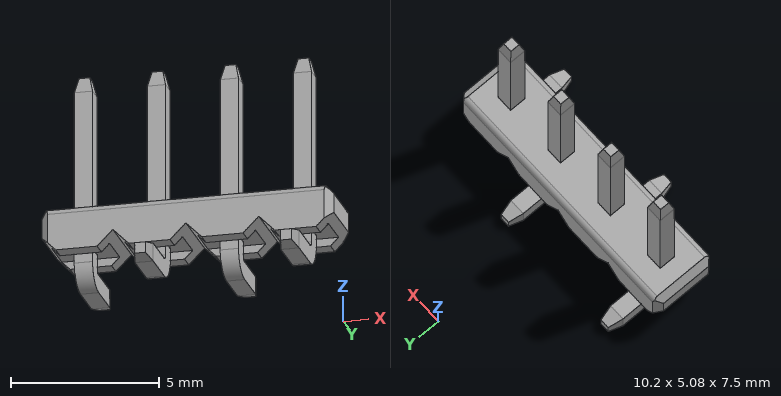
import cadquery as cq

PIN_COUNT = 4
PITCH = 2.54
TOTAL_HEIGHT = 7.5

HOUSING_LENGTH = PIN_COUNT * PITCH
HOUSING_WIDTH = PITCH
HOUSING_BOTTOM = 1.0
HOUSING_TOP = 2.5
END_CHAMFER = 0.26
NOTCH_SIZE = 0.55
TOP_EDGE_RADIUS = 0.2
CHANNEL_WIDTH = 1.36
CHANNEL_DEPTH = 0.28

PIN_SIZE = 0.64
FOOT_REACH = 2.54
INNER_BEND_RADIUS = 0.18
OUTER_BEND_RADIUS = INNER_BEND_RADIUS + PIN_SIZE
TIP_LENGTH = 0.55
TIP_SIZE = 0.38

PIN_POSITIONS = [(index - (PIN_COUNT - 1) / 2) * PITCH for index in range(PIN_COUNT)]


def make_housing_block():
    """Plain bar with rounded long upper edges and chamfered ends."""
    block = (
        cq.Workplane("XY", origin=(0, 0, HOUSING_BOTTOM))
        .box(HOUSING_LENGTH, HOUSING_WIDTH, HOUSING_TOP - HOUSING_BOTTOM, centered=(True, True, False))
    )
    rounded_bar = block.edges("|X and >Z").fillet(TOP_EDGE_RADIUS)

    end_edges = block.faces("<X or >X").edges("|Z or >Z")
    return rounded_bar.intersect(end_edges.chamfer(END_CHAMFER))


def make_notches():
    """45 degree V-shaped cutters, between the pins and at both ends of the underside."""
    notches = cq.Workplane("XZ")
    for index in range(PIN_COUNT + 1):
        x = index * PITCH - HOUSING_LENGTH / 2
        notch = (
            cq.Workplane("XZ")
            .moveTo(x - NOTCH_SIZE, HOUSING_BOTTOM)
            .lineTo(x, HOUSING_BOTTOM + NOTCH_SIZE)
            .lineTo(x + NOTCH_SIZE, HOUSING_BOTTOM)
            .close()
            .extrude(HOUSING_WIDTH / 2, both=True)
        )
        notches = notches.add(notch)
    return notches.combine()


def make_channel():
    """Cutter for the groove along the whole underside."""
    return (
        cq.Workplane("XY", origin=(0, 0, HOUSING_BOTTOM))
        .box(HOUSING_LENGTH, CHANNEL_WIDTH, CHANNEL_DEPTH, centered=(True, True, False))
    )


def make_pin_holes():
    """Cutters for the square holes that the pins fill."""
    return (
        cq.Workplane("XY", origin=(0, 0, HOUSING_BOTTOM))
        .pushPoints([(x, 0) for x in PIN_POSITIONS])
        .rect(PIN_SIZE, PIN_SIZE)
        .extrude(HOUSING_TOP - HOUSING_BOTTOM)
    )


def make_housing():
    housing = make_housing_block().cut(make_notches()).cut(make_channel()).cut(make_pin_holes())
    return housing.val().Solids()[0]


def make_tip(base_plane):
    """Square tip on the given plane, tapering along the plane's normal."""
    return (
        cq.Workplane(base_plane)
        .rect(PIN_SIZE, PIN_SIZE)
        .workplane(offset=TIP_LENGTH)
        .rect(TIP_SIZE, TIP_SIZE)
        .loft(ruled=True)
    )


def make_pin(x, foot_side):
    """L-shaped pin at x, its foot pointing to +Y (foot_side = 1) or -Y (foot_side = -1)."""
    half = PIN_SIZE / 2
    shaft_top = TOTAL_HEIGHT - TIP_LENGTH
    foot_end = foot_side * (FOOT_REACH - TIP_LENGTH)
    inner_face = foot_side * half
    outer_face = -inner_face
    bend_center_y = foot_side * (half + INNER_BEND_RADIUS)

    wire = (
        cq.Workplane("YZ")
        .moveTo(inner_face, shaft_top)
        .lineTo(inner_face, OUTER_BEND_RADIUS)
        .radiusArc((bend_center_y, PIN_SIZE), -foot_side * INNER_BEND_RADIUS)
        .lineTo(foot_end, PIN_SIZE)
        .lineTo(foot_end, 0)
        .lineTo(bend_center_y, 0)
        .radiusArc((outer_face, OUTER_BEND_RADIUS), foot_side * OUTER_BEND_RADIUS)
        .lineTo(outer_face, shaft_top)
        .close()
        .extrude(half, both=True)
    )
    upper_tip = make_tip(cq.Plane(origin=(0, 0, shaft_top)))
    foot_tip = make_tip(cq.Plane(origin=(0, foot_end, half), xDir=(1, 0, 0), normal=(0, foot_side, 0)))
    pin = wire.union(upper_tip).union(foot_tip)
    return pin.translate((x, 0, 0)).val().Solids()[0]


housing = make_housing()

pins = []
for index, x in enumerate(PIN_POSITIONS):
    foot_side = 1 if index % 2 == 0 else -1
    pins.append(make_pin(x, foot_side))

result = cq.Compound.makeCompound([housing, *pins])